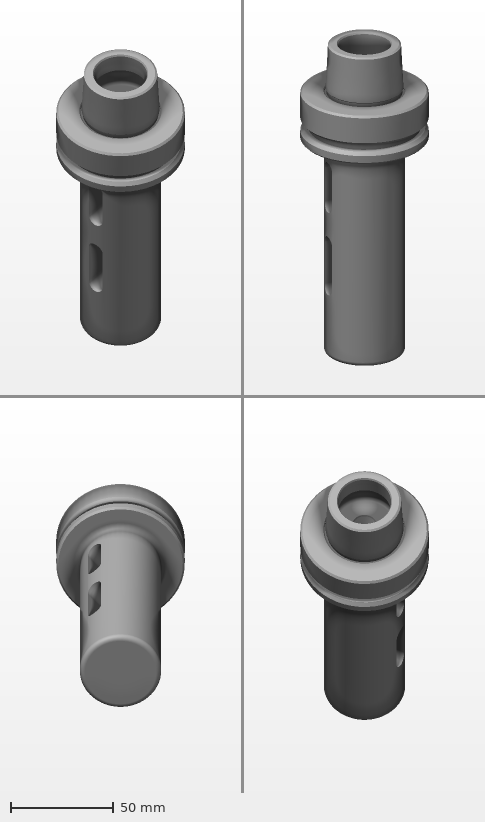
import cadquery as cq
import math

total_length = 165.0
taper_length = 25.0
flange_thickness = 25.9
flange_top = total_length - taper_length
flange_bottom = flange_top - flange_thickness

shank_radius = 20.0
shank_end_fillet = 2.5
neck_fillet = 3.0

flange_radius = 31.5
flange_chamfer = 1.0
groove_floor_radius = 27.5
groove_lip_radius = 29.9
groove_upper_edge = 125.5
groove_lower_edge = 118.6
groove_lip_drop = flange_radius - groove_lip_radius
groove_floor_top = groove_upper_edge - groove_lip_drop
groove_floor_bottom = groove_lower_edge + groove_lip_drop

taper_tip_radius = 18.0
taper_base_radius = 19.1
taper_tip_chamfer_width = 1.0
taper_tip_chamfer_depth = 0.7
relief_inner_radius = 18.6
relief_outer_radius = 19.6
relief_lip_chamfer = 0.5
relief_depth = 1.0
relief_step = taper_base_radius - relief_inner_radius
relief_floor = flange_top - relief_depth
relief_height = 1.6
relief_top = flange_top + relief_height

bore_radius = 13.0
bore_chamfer_width = 0.5
bore_chamfer_depth = 0.8
chamber_radius = 16.0
chamber_depth = 10.0
chamber_top = total_length - chamber_depth
chamber_floor = 143.5
chamber_fillet = 1.8

centre_radius = 5.6
centre_chamfer = 0.5
centre_flat_radius = 2.5
centre_point_angle = 118
centre_cone_depth = (centre_radius - centre_flat_radius) / math.tan(math.radians(centre_point_angle / 2))

slot_width = 8.5
slot_spans = ((33.8, 65.0), (78.0, 104.8))


def arc_middle_inset(radius):
    """Distance from either tangent line to the middle of a right-angle fillet."""
    return radius * (1 - math.sqrt(0.5))


def revolve_profile(profile):
    """Close a half profile in the XZ plane and turn it about the Z axis."""
    return profile.close().revolve(360, (0, 0, 0), (0, 1, 0))


def make_body():
    neck_shift = arc_middle_inset(neck_fillet)
    end_shift = arc_middle_inset(shank_end_fillet)
    profile = (
        cq.Workplane("XZ")
        .moveTo(0, 0)
        .lineTo(shank_radius - shank_end_fillet, 0)
        .threePointArc((shank_radius - end_shift, end_shift), (shank_radius, shank_end_fillet))
        .lineTo(shank_radius, flange_bottom - neck_fillet)
        .threePointArc(
            (shank_radius + neck_shift, flange_bottom - neck_shift),
            (shank_radius + neck_fillet, flange_bottom),
        )
        .lineTo(flange_radius - flange_chamfer, flange_bottom)
        .lineTo(flange_radius, flange_bottom + flange_chamfer)
        .lineTo(flange_radius, groove_lower_edge)
        .lineTo(groove_lip_radius, groove_floor_bottom)
        .lineTo(groove_floor_radius, groove_floor_bottom)
        .lineTo(groove_floor_radius, groove_floor_top)
        .lineTo(groove_lip_radius, groove_floor_top)
        .lineTo(flange_radius, groove_upper_edge)
        .lineTo(flange_radius, flange_top - flange_chamfer)
        .lineTo(flange_radius - flange_chamfer, flange_top)
        .lineTo(relief_outer_radius + relief_lip_chamfer, flange_top)
        .lineTo(relief_outer_radius, flange_top - relief_lip_chamfer)
        .lineTo(relief_outer_radius, relief_floor)
        .lineTo(relief_inner_radius, relief_floor)
        .lineTo(relief_inner_radius, relief_top - relief_step)
        .lineTo(taper_base_radius, relief_top)
        .lineTo(taper_tip_radius, total_length - taper_tip_chamfer_depth)
        .lineTo(taper_tip_radius - taper_tip_chamfer_width, total_length)
        .lineTo(0, total_length)
    )
    return revolve_profile(profile)


def make_bore():
    chamber_shift = arc_middle_inset(chamber_fillet)
    centre_cone_top = chamber_floor - centre_chamfer
    centre_flat = centre_cone_top - centre_cone_depth
    profile = (
        cq.Workplane("XZ")
        .moveTo(0, total_length)
        .lineTo(bore_radius + bore_chamfer_width, total_length)
        .lineTo(bore_radius, total_length - bore_chamfer_depth)
        .lineTo(bore_radius, chamber_top)
        .lineTo(chamber_radius, chamber_top)
        .lineTo(chamber_radius, chamber_floor + chamber_fillet)
        .threePointArc(
            (chamber_radius - chamber_shift, chamber_floor + chamber_shift),
            (chamber_radius - chamber_fillet, chamber_floor),
        )
        .lineTo(centre_radius + centre_chamfer, chamber_floor)
        .lineTo(centre_radius, centre_cone_top)
        .lineTo(centre_flat_radius, centre_flat)
        .lineTo(0, centre_flat)
    )
    return revolve_profile(profile)


def make_slot(lower_end, upper_end):
    return (
        cq.Workplane("XZ")
        .center(0, (lower_end + upper_end) / 2)
        .slot2D(upper_end - lower_end, slot_width, 90)
        .extrude(flange_radius, both=True)
    )


result = make_body().cut(make_bore())
for lower_end, upper_end in slot_spans:
    result = result.cut(make_slot(lower_end, upper_end))